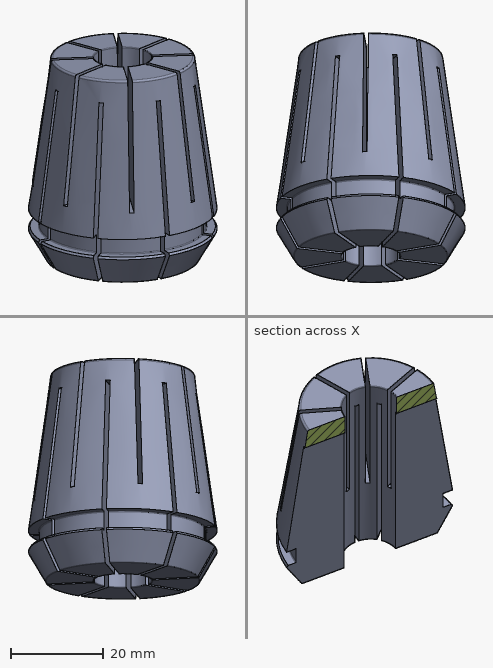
import cadquery as cq
import math

height = 46.0
max_diameter = 41.0
bore_diameter = 12.7

taper_angle = 8.0
taper_bottom_z = 11.2

groove_bottom_z = 7.05
groove_diameter = 36.25
nose_angle = 30.0
nose_chamfer_width = 0.35
nose_chamfer_height = 0.5

top_rim_radius = 0.5
small_edge_radius = 0.2

slots_per_end = 8
slot_width = 1.0
bottom_slot_top_z = 40.95
top_slot_bottom_z = 17.0

max_radius = max_diameter / 2
bore_radius = bore_diameter / 2
groove_radius = groove_diameter / 2
slot_pitch = 360.0 / slots_per_end
taper_top_radius = max_radius - (height - taper_bottom_z) * math.tan(math.radians(taper_angle))
nose_widest_z = groove_bottom_z - nose_chamfer_height
nose_bottom_radius = max_radius - nose_widest_z * math.tan(math.radians(nose_angle))


def collet_body():
    """Revolve half of the section, bore included, around Z."""
    section = [
        (bore_radius, 0),
        (nose_bottom_radius, 0),
        (max_radius, nose_widest_z),
        (max_radius - nose_chamfer_width, groove_bottom_z),
        (groove_radius, groove_bottom_z),
        (groove_radius, taper_bottom_z),
        (max_radius, taper_bottom_z),
        (taper_top_radius, height),
        (bore_radius, height),
    ]
    return cq.Workplane("XZ").polyline(section).close().revolve(360, (0, 0), (0, 1))


def round_circle(body, circle_radius, z, edge_radius):
    """Fillet the circular edge of the given radius at height z."""
    tolerance = 0.005
    edges = [
        edge
        for edge in body.edges("%CIRCLE").vals()
        if abs(edge.radius() - circle_radius) < tolerance and abs(edge.Center().z - z) < tolerance
    ]
    return body.newObject(edges).fillet(edge_radius)


def slot_set(bottom_z, top_z, first_angle):
    """Evenly spaced radial slot cutters from the axis out through the wall."""
    blade = cq.Workplane("XY").box(
        max_diameter, slot_width, top_z - bottom_z, centered=(False, True, False)
    )
    blade = blade.translate((0, 0, bottom_z))
    cutters = cq.Workplane("XY")
    for index in range(slots_per_end):
        angle = first_angle + index * slot_pitch
        cutters = cutters.add(blade.rotate((0, 0, 0), (0, 0, 1), angle))
    return cutters.combine()


body = collet_body()

body = round_circle(body, taper_top_radius, height, top_rim_radius)

small_edges = [
    (bore_radius, height),
    (bore_radius, 0),
    (nose_bottom_radius, 0),
    (groove_radius, groove_bottom_z),
    (groove_radius, taper_bottom_z),
]
for circle_radius, z in small_edges:
    body = round_circle(body, circle_radius, z, small_edge_radius)

bottom_slots = slot_set(0, bottom_slot_top_z, 0)
top_slots = slot_set(top_slot_bottom_z, height, slot_pitch / 2)

result = body.cut(bottom_slots).cut(top_slots)